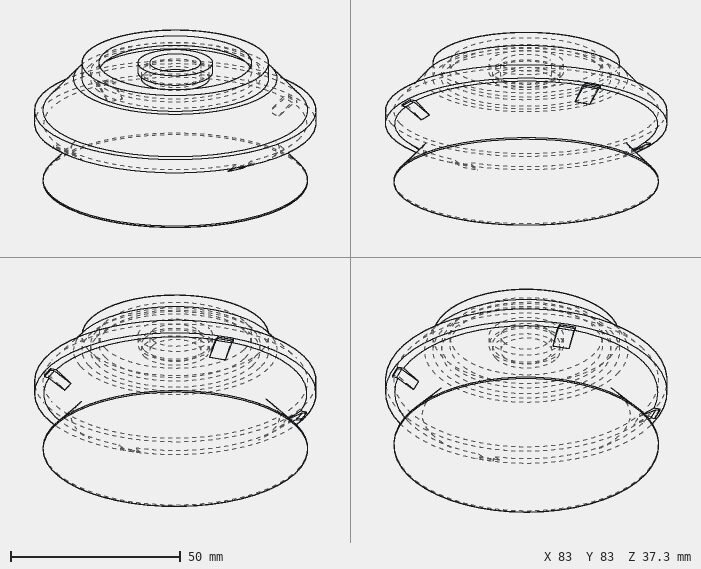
import cadquery as cq

LIP_TOP = 0.5
WAIST_BOTTOM = 8.3
WAIST_TOP = 12.5
FLANGE_BOTTOM = 18.2
FLANGE_TOP = 22.3
SHOULDER = 32.3
TOP = 37.3

FLANGE_DIA = 83.0
SKIRT_DIA = 78.0
UPPER_BELLOWS_DIA = 77.5
WAIST_EDGE_DIA = 63.25
WAIST_MIN_DIA = 61.3
SHOULDER_DIA = 60.0
COLLAR_DIA = 55.0

RECESS_MOUTH_DIA = 45.0
RECESS_UNDERCUT_DIA = 50.0
BOSS_DIA = 22.0
BOSS_NECK_DIA = 20.0
BORE_DIA = 15.0
RIM_DEPTH = 3.0
RIM_BOTTOM = TOP - RIM_DEPTH
RECESS_DEPTH = TOP - SHOULDER

GUSSET_COUNT = 4
GUSSET_WIDTH = 5.0
GUSSET_OUTER_RADIUS = 40.5
GUSSET_KNEE_RADIUS = 39.3
GUSSET_LIP = 0.5
GUSSET_BOTTOM = 14.45


def make_body():
    """Revolve the bellows: skirt, rounded waist, flange, upper cone and collar."""
    waist_middle = (WAIST_BOTTOM + WAIST_TOP) / 2
    profile = (
        cq.Workplane("XZ")
        .lineTo(SKIRT_DIA / 2, 0)
        .lineTo(SKIRT_DIA / 2, LIP_TOP)
        .lineTo(WAIST_EDGE_DIA / 2, WAIST_BOTTOM)
        .threePointArc((WAIST_MIN_DIA / 2, waist_middle), (WAIST_EDGE_DIA / 2, WAIST_TOP))
        .lineTo(UPPER_BELLOWS_DIA / 2, FLANGE_BOTTOM)
        .lineTo(FLANGE_DIA / 2, FLANGE_BOTTOM)
        .lineTo(FLANGE_DIA / 2, FLANGE_TOP)
        .lineTo(SKIRT_DIA / 2, FLANGE_TOP)
        .lineTo(SHOULDER_DIA / 2, SHOULDER)
        .lineTo(COLLAR_DIA / 2, SHOULDER)
        .lineTo(COLLAR_DIA / 2, TOP)
        .lineTo(0, TOP)
        .close()
    )
    return profile.revolve(360, (0, 0, 0), (0, 1, 0))


def make_ring(outer_dia, inner_dia, bottom, top):
    """Flat ring between two heights."""
    return (
        cq.Workplane("XY", origin=(0, 0, bottom))
        .circle(outer_dia / 2)
        .circle(inner_dia / 2)
        .extrude(top - bottom)
    )


def cut_recess(body):
    """Cut the undercut ring channel and the blind bore of the central boss."""
    mouth = make_ring(RECESS_MOUTH_DIA, BOSS_DIA, RIM_BOTTOM, TOP)
    undercut = make_ring(RECESS_UNDERCUT_DIA, BOSS_NECK_DIA, SHOULDER, RIM_BOTTOM)
    bore = cq.Workplane("XY", origin=(0, 0, TOP)).circle(BORE_DIA / 2).extrude(-RECESS_DEPTH)
    return body.cut(mouth).cut(undercut).cut(bore)


def make_gusset():
    """Gusset on the +X side, its inner end buried in the upper bellows cone."""
    cone_slope = (UPPER_BELLOWS_DIA - WAIST_EDGE_DIA) / 2 / (FLANGE_BOTTOM - WAIST_TOP)
    root_radius = WAIST_EDGE_DIA / 2 + cone_slope * (GUSSET_BOTTOM - WAIST_TOP)
    profile = [
        (root_radius, GUSSET_BOTTOM),
        (GUSSET_KNEE_RADIUS, FLANGE_BOTTOM - GUSSET_LIP),
        (GUSSET_OUTER_RADIUS, FLANGE_BOTTOM - GUSSET_LIP),
        (GUSSET_OUTER_RADIUS, FLANGE_BOTTOM),
        (root_radius, FLANGE_BOTTOM),
    ]
    return cq.Workplane("XZ").polyline(profile).close().extrude(GUSSET_WIDTH / 2, both=True)


result = cut_recess(make_body())

gusset = make_gusset()
for index in range(GUSSET_COUNT):
    angle = index * 360 / GUSSET_COUNT
    result = result.union(gusset.rotate((0, 0, 0), (0, 0, 1), angle))